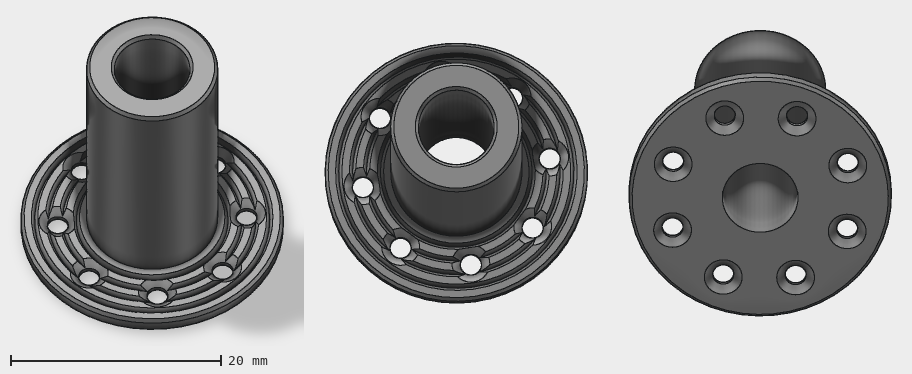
import cadquery as cq
import math

height = 25.0
flange_radius = 12.5
flange_thickness = 1.58
sleeve_radius = 6.25
bore_radius = 3.6
edge_chamfer = 0.3

groove_count = 4
inner_groove_radius = 7.22
groove_spacing = 1.32
groove_half_width = 0.3
groove_depth = 0.5

hole_count = 8
hole_circle_radius = 9.0
hole_radius = 1.0
countersink_radius = 1.8
countersink_depth = 0.58


def revolve_profile(points):
    """Revolve a closed (radius, height) outline about the Z axis."""
    return cq.Workplane("XZ").polyline(points).close().revolve(360, (0, 0, 0), (0, 1, 0))


def flanged_sleeve():
    """Bored sleeve on a round flange, with chamfered rims."""
    return revolve_profile([
        (bore_radius, 0),
        (flange_radius - edge_chamfer, 0),
        (flange_radius, edge_chamfer),
        (flange_radius, flange_thickness - edge_chamfer),
        (flange_radius - edge_chamfer, flange_thickness),
        (sleeve_radius, flange_thickness),
        (sleeve_radius, height - edge_chamfer),
        (sleeve_radius - edge_chamfer, height),
        (bore_radius + edge_chamfer, height),
        (bore_radius, height - edge_chamfer),
    ])


def ring_groove(radius):
    """V-shaped ring that cuts one groove into the flange."""
    return revolve_profile([
        (radius - groove_half_width, flange_thickness),
        (radius, flange_thickness - groove_depth),
        (radius + groove_half_width, flange_thickness),
    ])


def countersunk_hole(angle):
    """Through hole with a conical seat at both ends, placed on the hole circle."""
    cutter = revolve_profile([
        (0, 0),
        (countersink_radius, 0),
        (hole_radius, countersink_depth),
        (hole_radius, flange_thickness - countersink_depth),
        (countersink_radius, flange_thickness),
        (0, flange_thickness),
    ])
    x = hole_circle_radius * math.cos(angle)
    y = hole_circle_radius * math.sin(angle)
    return cutter.translate((x, y, 0))


result = flanged_sleeve()

for index in range(groove_count):
    result = result.cut(ring_groove(inner_groove_radius + index * groove_spacing))

for index in range(hole_count):
    result = result.cut(countersunk_hole(2 * math.pi * index / hole_count))